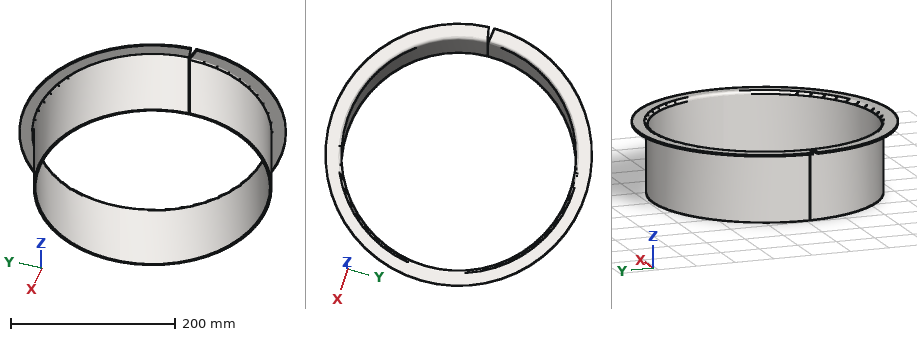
import cadquery as cq
import math

flange_radius = 162.5
wall_outer_radius = 145.0
sheet_thickness = 2.0
inner_bend_radius = 2.0
height = 90.0

split_angle = 2.0
wall_gap = 0.6
rim_gap = 7.0

wall_inner_radius = wall_outer_radius - sheet_thickness
outer_bend_radius = inner_bend_radius + sheet_thickness
bend_edge_radius = wall_outer_radius + inner_bend_radius
flange_underside = height - sheet_thickness
bend_bottom = height - outer_bend_radius
cutter_overrun = 5.0


def bend_point(radius):
    """Midpoint of a bend arc with the given radius, in the (r, z) section."""
    offset = radius * math.sqrt(0.5)
    return (bend_edge_radius - offset, bend_bottom + offset)


def flanged_ring():
    """Full ring: cylindrical wall bent outwards into a flat flange at the top."""
    section = (
        cq.Workplane("XZ")
        .moveTo(wall_inner_radius, 0)
        .lineTo(wall_outer_radius, 0)
        .lineTo(wall_outer_radius, bend_bottom)
        .threePointArc(bend_point(inner_bend_radius), (bend_edge_radius, flange_underside))
        .lineTo(flange_radius, flange_underside)
        .lineTo(flange_radius, height)
        .lineTo(bend_edge_radius, height)
        .threePointArc(bend_point(outer_bend_radius), (wall_inner_radius, bend_bottom))
        .close()
    )
    return section.revolve(360, (0, 0, 0), (0, 1, 0))


def split_cutter():
    """V-shaped prism, narrow at the wall and widening evenly out to the flange rim."""
    cutter_end = flange_radius + cutter_overrun
    gap_growth = (rim_gap - wall_gap) / (flange_radius - wall_inner_radius)
    end_gap = rim_gap + gap_growth * cutter_overrun
    slit_start = wall_inner_radius - cutter_overrun
    outline = [
        (-slit_start, wall_gap / 2),
        (-wall_inner_radius, wall_gap / 2),
        (-cutter_end, end_gap / 2),
        (-cutter_end, -end_gap / 2),
        (-wall_inner_radius, -wall_gap / 2),
        (-slit_start, -wall_gap / 2),
    ]
    cutter = cq.Workplane("XY").polyline(outline).close().extrude(height)
    return cutter.rotate((0, 0, 0), (0, 0, 1), split_angle)


result = flanged_ring().cut(split_cutter())